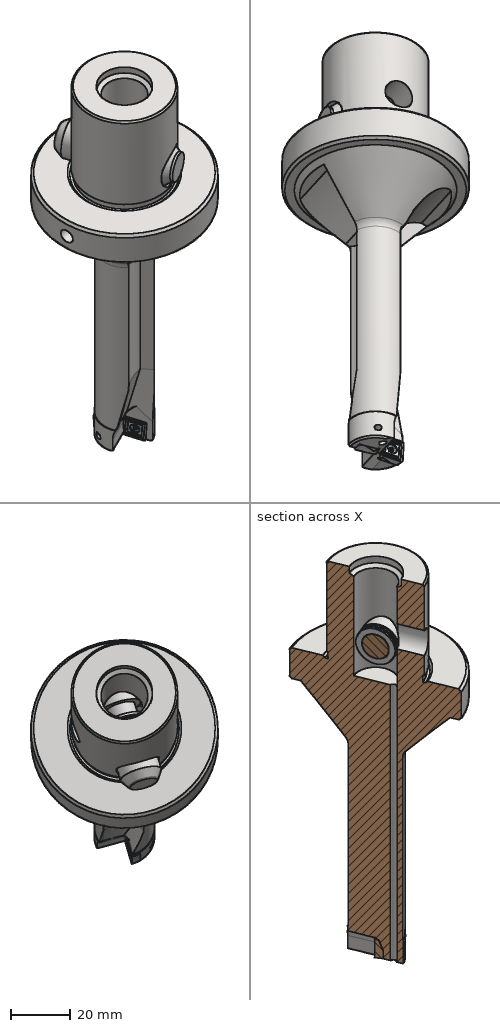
import cadquery as cq
import math

TOTAL_HEIGHT = 161.0
BODY_BOTTOM = 0.5

OVERCUT = 1.6

COUPLING_RADIUS = 18.0
COUPLING_CHAMFER = 0.6
NECK_RADIUS = 17.5
NECK_TOP = 123.0
FLANGE_RADIUS = 31.7
FLANGE_TOP = 121.2
FLANGE_BOTTOM = 108.2
FLANGE_CHAMFER = 1.0
GROOVE_RADIUS = 19.3
GROOVE_DEPTH = 0.8
BORE_MOUTH_RADIUS = 9.5
BORE_MOUTH_DEPTH = 2.7
BORE_RADIUS = 7.9
BORE_TAPER_DEPTH = 1.0
BORE_FLOOR = 116.0
FLANGE_HOLE_RADIUS = 2.5
FLANGE_HOLE_X = -9.0
FLANGE_HOLE_Z = 114.8
FLANGE_HOLE_DEPTH = 12.9
SIDE_HOLE_RADIUS = 5.2
SIDE_HOLE_Z = 136.7

CONE_RADIUS = 27.5
CONE_BOTTOM = 88.4
CONE_FILLET = 4.3
SHAFT_RADIUS = 10.1
TIP_RADIUS = 10.3
TIP_TOP = 11.0
TIP_CHAMFER = 0.6
COOLANT_RADIUS = 1.3
COOLANT_X = 0.6
COOLANT_Y = 6.8

FLUTE_EDGE = (5.0, -8.7)
FLUTE_DEEPEST = (3.7, -2.4)
FLUTE_CORNER = (4.7, 2.7)
FLUTE_WALL_SLOPE = 0.31
FLUTE_BEND = 29.8
FLUTE_END = 9.7
FLUTE_END_CLEARANCE = 1.0
FLUTE_END_BULGE = 0.5
FLUTE_END_CORNER_Y = -1.6
FLUTE_END_SLOPE = 0.17
FLUTE_REACH = 35.5
EXIT_BOTTOM = 87.6
EXIT_ARC_START = (6.3, 90.2)
EXIT_ARC_MIDDLE = (11.6, 99.8)
EXIT_ARC_END = (21.5, 106.1)

SEAT_ARC_BOTTOM = 7.0
SEAT_ARC_RADIUS = 9.0
SEAT_CHAMFER_WIDTH = 3.0
SEAT_CHAMFER_HEIGHT = 1.0
INNER_SEAT_X = -0.2
OUTER_SEAT_X = 2.0

INSERT_SIDE = 8.4
INSERT_CORNER = 0.8
INSERT_THICKNESS = 3.0
INSERT_PROUD = 0.3
INSERT_TILT = 3.0
INSERT_CLEARANCE_ANGLE = 7.0
INNER_INSERT_X = 3.9
OUTER_INSERT_X = 6.3
BREAKER_OUTER = 6.8
BREAKER_INNER = 5.2
BREAKER_DEPTH = 0.3
SCREW_HEAD_RADIUS = 1.8
SCREW_HEAD_RECESS = 0.5
SCREW_HEAD_HEIGHT = 1.3
SCREW_RADIUS = 1.1
SCREW_END_Y = 6.5
SOCKET_RADIUS = 0.8
SOCKET_DEPTH = 0.6

PIN_Z = 130.2
PIN_RADIUS = 7.2
PIN_LEFT = -23.7
PIN_LEFT_SHOULDER = -20.3
PIN_RIGHT_SHOULDER = 16.5
PIN_RIGHT_LIP = 18.7
PIN_RIGHT = 19.6
PIN_NOSE_RADIUS = 5.3
PIN_NOSE_CHAMFER = 0.5
PIN_NECK_RADIUS = 5.0
PIN_NECK_LEFT = 0.0
PIN_NECK_RIGHT = 4.7
RING_GROOVE_LEFT = -2.9
RING_GROOVE_RIGHT = -1.0
RING_GROOVE_FLOOR = 6.3
RING_SIDE_GAP = 0.5
PIN_RELIEF_RADIUS = 7.5
PIN_RELIEF_START = 12.9

tilt = math.radians(INSERT_TILT)
INSERT_Z = (INSERT_SIDE / 2 - INSERT_CORNER) * (math.cos(tilt) + math.sin(tilt)) + INSERT_CORNER


def turned(shape, angle):
    return shape.rotate((0, 0, 0), (0, 0, 1), angle)


def half_turn(shape):
    return turned(shape, 180)


def cylinder_along_x(radius, x_start, x_end):
    return cq.Workplane("YZ", origin=(x_start, 0, PIN_Z)).circle(radius).extrude(x_end - x_start)


def cylinder_along_y(radius, x, y_start, y_end):
    plane = cq.Plane(origin=(x, y_start, INSERT_Z), xDir=(1, 0, 0), normal=(0, 1, 0))
    return cq.Workplane(plane).circle(radius).extrude(y_end - y_start)


def turned_blank():
    flange_rim = FLANGE_RADIUS - FLANGE_CHAMFER
    coupling = (
        cq.Workplane("XZ")
        .moveTo(0, FLANGE_BOTTOM)
        .lineTo(flange_rim, FLANGE_BOTTOM)
        .lineTo(FLANGE_RADIUS, FLANGE_BOTTOM + FLANGE_CHAMFER)
        .lineTo(FLANGE_RADIUS, FLANGE_TOP - FLANGE_CHAMFER)
        .lineTo(flange_rim, FLANGE_TOP)
        .lineTo(GROOVE_RADIUS, FLANGE_TOP)
        .lineTo(GROOVE_RADIUS - GROOVE_DEPTH, FLANGE_TOP - GROOVE_DEPTH)
        .lineTo(NECK_RADIUS, FLANGE_TOP - GROOVE_DEPTH)
        .lineTo(NECK_RADIUS, NECK_TOP)
        .lineTo(COUPLING_RADIUS, NECK_TOP)
        .lineTo(COUPLING_RADIUS, TOTAL_HEIGHT - COUPLING_CHAMFER)
        .lineTo(COUPLING_RADIUS - COUPLING_CHAMFER, TOTAL_HEIGHT)
        .lineTo(0, TOTAL_HEIGHT)
        .close()
        .revolve(360, (0, 0), (0, 1))
    )
    cone_angle = math.atan2(CONE_RADIUS - SHAFT_RADIUS, FLANGE_BOTTOM - CONE_BOTTOM)
    tangent_length = CONE_FILLET * math.tan(cone_angle / 2)
    fillet_start = CONE_BOTTOM - tangent_length
    fillet_end_x = SHAFT_RADIUS + tangent_length * math.sin(cone_angle)
    fillet_end_z = CONE_BOTTOM + tangent_length * math.cos(cone_angle)
    shaft = (
        cq.Workplane("XZ")
        .moveTo(0, BODY_BOTTOM)
        .lineTo(TIP_RADIUS - TIP_CHAMFER, BODY_BOTTOM)
        .lineTo(TIP_RADIUS, BODY_BOTTOM + TIP_CHAMFER)
        .lineTo(TIP_RADIUS, TIP_TOP)
        .lineTo(SHAFT_RADIUS, TIP_TOP)
        .lineTo(SHAFT_RADIUS, fillet_start)
        .tangentArcPoint((fillet_end_x, fillet_end_z), relative=False)
        .lineTo(CONE_RADIUS, FLANGE_BOTTOM)
        .lineTo(0, FLANGE_BOTTOM)
        .close()
        .revolve(360, (0, 0), (0, 1))
    )
    return coupling.union(shaft)


def stepped_bore():
    taper_top = TOTAL_HEIGHT - BORE_MOUTH_DEPTH
    return (
        cq.Workplane("XZ")
        .moveTo(0, BORE_FLOOR)
        .lineTo(BORE_RADIUS, BORE_FLOOR)
        .lineTo(BORE_RADIUS, taper_top - BORE_TAPER_DEPTH)
        .lineTo(BORE_MOUTH_RADIUS, taper_top)
        .lineTo(BORE_MOUTH_RADIUS, TOTAL_HEIGHT)
        .lineTo(0, TOTAL_HEIGHT)
        .close()
        .revolve(360, (0, 0), (0, 1))
    )


def pin_hole():
    hole = cylinder_along_x(PIN_RADIUS, -COUPLING_RADIUS, COUPLING_RADIUS)
    for side in (-1, 1):
        relief = cylinder_along_x(PIN_RELIEF_RADIUS, side * PIN_RELIEF_START, side * COUPLING_RADIUS)
        hole = hole.union(relief)
    return hole


def flange_hole():
    mouth_y = -math.sqrt(FLANGE_RADIUS**2 - FLANGE_HOLE_X**2)
    inward = cq.Vector(-FLANGE_HOLE_X, -mouth_y, 0)
    mouth = cq.Vector(FLANGE_HOLE_X, mouth_y, FLANGE_HOLE_Z) - inward.normalized() * OVERCUT
    plane = cq.Plane(origin=mouth.toTuple(), xDir=(0, 0, 1), normal=inward.toTuple())
    return cq.Workplane(plane).circle(FLANGE_HOLE_RADIUS).extrude(FLANGE_HOLE_DEPTH + OVERCUT)


def side_hole():
    """Round opening from the +Y side of the coupling shank into the bore."""
    plane = cq.Plane(origin=(0, 0, SIDE_HOLE_Z), xDir=(1, 0, 0), normal=(0, 1, 0))
    return cq.Workplane(plane).circle(SIDE_HOLE_RADIUS).extrude(COUPLING_RADIUS + OVERCUT)


def coolant_hole():
    return (
        cq.Workplane("XY")
        .center(COOLANT_X, COOLANT_Y)
        .circle(COOLANT_RADIUS)
        .extrude(BORE_FLOOR)
    )


def flute_outline(z, edge, deepest, corner, slope):
    """Open side toward +X and -Y: rounded floor, then a flat wall."""
    wall_end = (FLUTE_REACH, corner[1] + slope * (FLUTE_REACH - corner[0]))
    return (
        cq.Workplane("XY", origin=(0, 0, z))
        .moveTo(edge[0], -FLUTE_REACH)
        .lineTo(*edge)
        .threePointArc(deepest, corner)
        .lineTo(*wall_end)
        .lineTo(FLUTE_REACH, -FLUTE_REACH)
        .close()
    )


def flute(seat_x):
    bend = (FLUTE_EDGE, FLUTE_DEEPEST, FLUTE_CORNER, FLUTE_WALL_SLOPE)
    end_x = seat_x + FLUTE_END_CLEARANCE
    end_middle = (end_x - FLUTE_END_BULGE, FLUTE_EDGE[1] / 2)
    end_corner = (end_x, FLUTE_END_CORNER_Y)
    end = ((end_x, FLUTE_EDGE[1]), end_middle, end_corner, FLUTE_END_SLOPE)
    straight = flute_outline(FLUTE_BEND, *bend).extrude(EXIT_BOTTOM - FLUTE_BEND)
    lower_wire = flute_outline(FLUTE_END, *end).val()
    upper_wire = flute_outline(FLUTE_BEND, *bend).val()
    sloped = cq.Workplane(cq.Solid.makeLoft([lower_wire, upper_wire], True))
    return straight.union(sloped).union(flute_exit())


def flute_exit():
    """Floor curving out of the cone, bounded by the extended flute wall."""
    sweep = (
        cq.Workplane("XZ", origin=(0, FLUTE_REACH, 0))
        .moveTo(FLUTE_DEEPEST[0], EXIT_BOTTOM)
        .lineTo(*EXIT_ARC_START)
        .threePointArc(EXIT_ARC_MIDDLE, EXIT_ARC_END)
        .lineTo(FLUTE_REACH, EXIT_ARC_END[1])
        .lineTo(FLUTE_REACH, EXIT_BOTTOM)
        .close()
        .extrude(2 * FLUTE_REACH)
    )
    bound = flute_outline(
        EXIT_BOTTOM, FLUTE_EDGE, FLUTE_DEEPEST, FLUTE_CORNER, FLUTE_WALL_SLOPE
    ).extrude(EXIT_ARC_END[1] - EXIT_BOTTOM)
    return sweep.intersect(bound)


def insert_seat(seat_x):
    """Space in front of the insert, on the -Y side of the seat plane y = 0."""
    return (
        cq.Workplane("XZ")
        .moveTo(seat_x - SEAT_CHAMFER_WIDTH, BODY_BOTTOM)
        .lineTo(seat_x, BODY_BOTTOM + SEAT_CHAMFER_HEIGHT)
        .lineTo(seat_x, SEAT_ARC_BOTTOM)
        .radiusArc((seat_x + SEAT_ARC_RADIUS, SEAT_ARC_BOTTOM + SEAT_ARC_RADIUS), SEAT_ARC_RADIUS)
        .lineTo(FLUTE_REACH, SEAT_ARC_BOTTOM + SEAT_ARC_RADIUS)
        .lineTo(FLUTE_REACH, BODY_BOTTOM)
        .close()
        .extrude(FLUTE_REACH)
    )


def outer_insert_relief():
    """Opens the pocket of the outer insert to the side of the tip."""
    depth = INSERT_THICKNESS - INSERT_PROUD
    return (
        cq.Workplane("XY", origin=(OUTER_INSERT_X, 0, INSERT_Z))
        .box(SHAFT_RADIUS, depth, INSERT_SIDE, centered=(False, False, True))
    )


def screw_hole(x):
    through = cylinder_along_y(SCREW_RADIUS, x, 0, TIP_RADIUS)
    return screw_blank(x).union(through)


def drill_body():
    body = turned_blank()
    body = body.cut(stepped_bore()).cut(pin_hole()).cut(flange_hole())
    body = body.cut(side_hole()).cut(coolant_hole())
    body = body.cut(flute(INNER_SEAT_X)).cut(insert_seat(INNER_SEAT_X))
    body = body.cut(half_turn(flute(OUTER_SEAT_X))).cut(half_turn(insert_seat(OUTER_SEAT_X)))
    body = body.cut(insert_blank(INNER_INSERT_X)).cut(screw_hole(INNER_INSERT_X))
    outer_pocket = insert_blank(OUTER_INSERT_X).union(outer_insert_relief())
    return body.cut(half_turn(outer_pocket)).cut(half_turn(screw_hole(OUTER_INSERT_X)))


def insert_plane(x):
    plane = cq.Plane(origin=(x, -INSERT_PROUD, INSERT_Z), xDir=(1, 0, 0), normal=(0, 1, 0))
    return plane.rotated((0, 0, INSERT_TILT))


def insert_blank(x):
    outline = cq.Sketch().rect(INSERT_SIDE, INSERT_SIDE).vertices().fillet(INSERT_CORNER)
    return (
        cq.Workplane(insert_plane(x))
        .placeSketch(outline)
        .extrude(INSERT_THICKNESS, taper=INSERT_CLEARANCE_ANGLE)
    )


def insert(x):
    breaker = (
        cq.Workplane(insert_plane(x))
        .rect(BREAKER_OUTER, BREAKER_OUTER)
        .rect(BREAKER_INNER, BREAKER_INNER)
        .extrude(BREAKER_DEPTH)
    )
    head_opening = cylinder_along_y(
        SCREW_HEAD_RADIUS, x, -INSERT_PROUD, SCREW_HEAD_RECESS - INSERT_PROUD
    )
    return insert_blank(x).cut(breaker).cut(head_opening).cut(screw_blank(x))


def screw_blank(x):
    head_y = SCREW_HEAD_RECESS - INSERT_PROUD
    cone_end_y = head_y + SCREW_HEAD_HEIGHT
    return (
        cq.Workplane("XY", origin=(x, 0, INSERT_Z))
        .moveTo(0, head_y)
        .lineTo(SCREW_HEAD_RADIUS, head_y)
        .lineTo(SCREW_RADIUS, cone_end_y)
        .lineTo(SCREW_RADIUS, SCREW_END_Y)
        .lineTo(0, SCREW_END_Y)
        .close()
        .revolve(360, (0, 0), (0, 1))
    )


def screw(x):
    head_y = SCREW_HEAD_RECESS - INSERT_PROUD
    return screw_blank(x).cut(cylinder_along_y(SOCKET_RADIUS, x, head_y, head_y + SOCKET_DEPTH))


def clamping_pin():
    nose_tip = PIN_NOSE_RADIUS - PIN_NOSE_CHAMFER
    return (
        cq.Workplane("XZ", origin=(0, 0, PIN_Z))
        .moveTo(PIN_LEFT, 0)
        .lineTo(PIN_LEFT, nose_tip)
        .lineTo(PIN_LEFT + PIN_NOSE_CHAMFER, PIN_NOSE_RADIUS)
        .lineTo(PIN_LEFT_SHOULDER, PIN_RADIUS)
        .lineTo(RING_GROOVE_LEFT, PIN_RADIUS)
        .lineTo(RING_GROOVE_LEFT, RING_GROOVE_FLOOR)
        .lineTo(RING_GROOVE_RIGHT, RING_GROOVE_FLOOR)
        .lineTo(RING_GROOVE_RIGHT, PIN_RADIUS)
        .lineTo(PIN_NECK_LEFT, PIN_RADIUS)
        .lineTo(PIN_NECK_LEFT, PIN_NECK_RADIUS)
        .lineTo(PIN_NECK_RIGHT, PIN_NECK_RADIUS)
        .lineTo(PIN_NECK_RIGHT, PIN_RADIUS)
        .lineTo(PIN_RIGHT_SHOULDER, PIN_RADIUS)
        .lineTo(PIN_RIGHT_LIP, PIN_NOSE_RADIUS)
        .lineTo(PIN_RIGHT, PIN_NOSE_RADIUS)
        .lineTo(PIN_RIGHT, 0)
        .close()
        .revolve(360, (0, 0), (1, 0))
    )


def pin_ring():
    left = RING_GROOVE_LEFT + RING_SIDE_GAP
    right = RING_GROOVE_RIGHT - RING_SIDE_GAP
    return cylinder_along_x(PIN_RADIUS, left, right).cut(cylinder_along_x(RING_GROOVE_FLOOR, left, right))


body = drill_body()
pin = clamping_pin()
ring = pin_ring()

inserts = []
screws = []
for insert_x, angle in ((INNER_INSERT_X, 0), (OUTER_INSERT_X, 180)):
    inserts.append(turned(insert(insert_x), angle).val())
    screws.append(turned(screw(insert_x), angle).val())

result = cq.Compound.makeCompound([body.val(), pin.val(), ring.val(), *inserts, *screws])